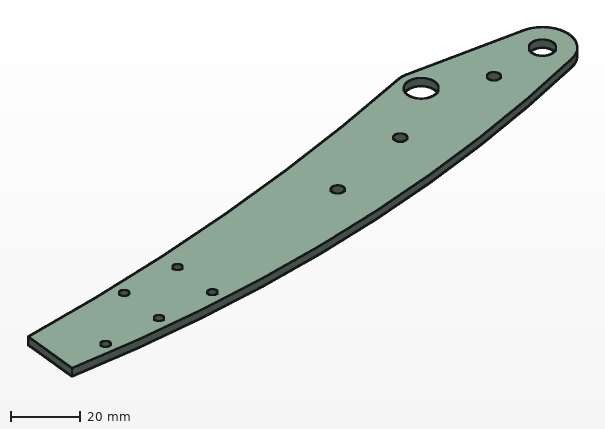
import cadquery as cq
import math

LENGTH = 215.0
THICKNESS = 3.0
FOOT_WIDTH = 20.0

TIP_RADIUS = 10.0
TIP_CENTER = (-15.0, LENGTH - TIP_RADIUS)
TIP_HOLE_DIAMETER = 8.0
ELBOW_RADIUS = 8.0
ELBOW_CENTER = (-22.0, 165.0)
ELBOW_HOLE_DIAMETER = 10.0

OUTER_EDGE_ANGLE = 18.6
INNER_EDGE_ANGLE = 196.6

ARM_HOLE_DIAMETER = 4.0
ARM_HOLES = [(-13.1, 185.0), (-7.0, 145.0), (1.0, 115.0)]

FOOT_HOLE_DIAMETER = 3.0
FOOT_HOLE_PITCH = 20.0
FIRST_FOOT_HOLE_Y = 15.0
INNER_COLUMN_X = 1.0
OUTER_COLUMN_X = 17.0


def point_on_circle(center, radius, degrees):
    angle = math.radians(degrees)
    return (center[0] + radius * math.cos(angle), center[1] + radius * math.sin(angle))


def tangent_line_angle():
    """Direction from both centres to the straight edge joining elbow and tip."""
    dx = TIP_CENTER[0] - ELBOW_CENTER[0]
    dy = TIP_CENTER[1] - ELBOW_CENTER[1]
    spread = math.acos((ELBOW_RADIUS - TIP_RADIUS) / math.hypot(dx, dy))
    return math.degrees(math.atan2(dy, dx) + spread)


def tangent_arc_middle(start, normal_degrees, end):
    """Middle of the arc to end that leaves start at right angles to the normal."""
    normal = math.radians(normal_degrees)
    dx = end[0] - start[0]
    dy = end[1] - start[1]
    inward = -(dx * math.cos(normal) + dy * math.sin(normal))
    arc_radius = (dx**2 + dy**2) / (2 * inward)
    center = point_on_circle(start, -arc_radius, normal_degrees)
    chord_middle = ((start[0] + end[0]) / 2, (start[1] + end[1]) / 2)
    toward_middle = math.atan2(chord_middle[1] - center[1], chord_middle[0] - center[0])
    return point_on_circle(center, abs(arc_radius), math.degrees(toward_middle))


def make_plate():
    side_angle = tangent_line_angle()
    inner_corner = (0, 0)
    outer_corner = (FOOT_WIDTH, 0)
    tip_start = point_on_circle(TIP_CENTER, TIP_RADIUS, OUTER_EDGE_ANGLE)
    tip_middle = point_on_circle(TIP_CENTER, TIP_RADIUS, (OUTER_EDGE_ANGLE + side_angle) / 2)
    tip_end = point_on_circle(TIP_CENTER, TIP_RADIUS, side_angle)
    elbow_start = point_on_circle(ELBOW_CENTER, ELBOW_RADIUS, side_angle)
    elbow_middle = point_on_circle(ELBOW_CENTER, ELBOW_RADIUS, (side_angle + INNER_EDGE_ANGLE) / 2)
    elbow_end = point_on_circle(ELBOW_CENTER, ELBOW_RADIUS, INNER_EDGE_ANGLE)
    return (
        cq.Workplane("XY")
        .moveTo(*inner_corner)
        .lineTo(*outer_corner)
        .threePointArc(tangent_arc_middle(tip_start, OUTER_EDGE_ANGLE, outer_corner), tip_start)
        .threePointArc(tip_middle, tip_end)
        .lineTo(*elbow_start)
        .threePointArc(elbow_middle, elbow_end)
        .threePointArc(tangent_arc_middle(elbow_end, INNER_EDGE_ANGLE, inner_corner), inner_corner)
        .close()
        .extrude(THICKNESS)
    )


def drill(plate, centers, diameter):
    cutters = cq.Workplane("XY").pushPoints(centers).circle(diameter / 2).extrude(THICKNESS)
    return plate.cut(cutters)


foot_rows = [FIRST_FOOT_HOLE_Y + row * FOOT_HOLE_PITCH for row in range(3)]
foot_holes = [(OUTER_COLUMN_X, y) for y in foot_rows]
foot_holes += [(INNER_COLUMN_X, y) for y in foot_rows[1:]]

result = make_plate()
result = drill(result, [TIP_CENTER], TIP_HOLE_DIAMETER)
result = drill(result, [ELBOW_CENTER], ELBOW_HOLE_DIAMETER)
result = drill(result, ARM_HOLES, ARM_HOLE_DIAMETER)
result = drill(result, foot_holes, FOOT_HOLE_DIAMETER)